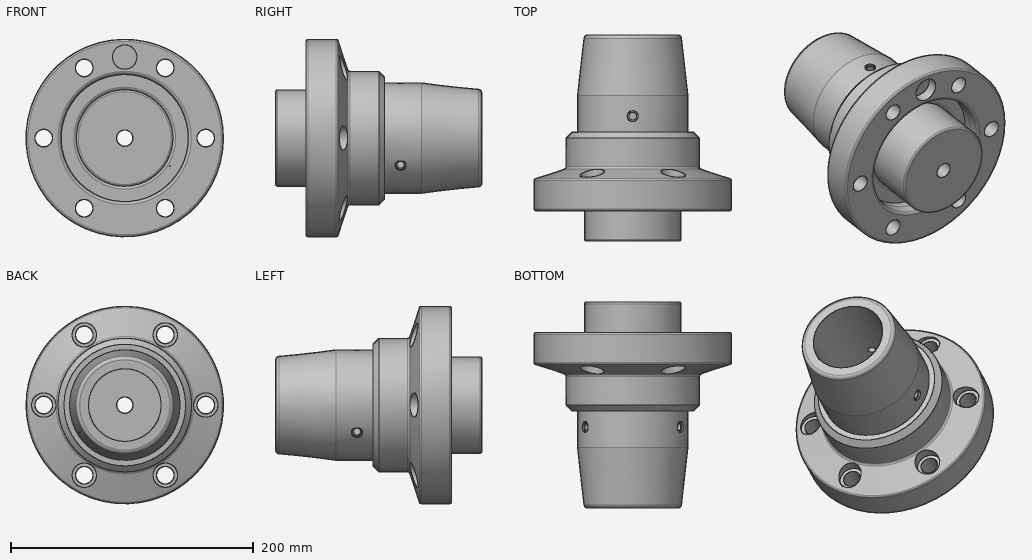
import cadquery as cq
import math


overall_length = 170.0
shaft_radius = 39.8
shaft_projection = 25.0
shaft_edge_fillet = 1.5
shaft_bore_diameter = 13.3

hub_length = overall_length - shaft_projection
flange_radius = 81.5
flange_rim_length = 26.2
flange_edge_fillet = 1.7
collar_radius = 55.0
slope_end = 34.8
slope_fillet = 2.2
collar_end = 65.0
collar_chamfer = 5.0
neck_radius = 45.5
taper_start = 95.2
tip_radius = 40.0
tip_fillet = 3.0

recess_mouth_fillet = 2.2
recess_front_radius = 52.9
recess_radius = 52.4
recess_taper_end = 10.2
recess_depth = 17.0
bore_mouth_fillet = 2.2
seat_end = collar_end
rear_bore_radius = 30.0

bolt_count = 6
bolt_circle_radius = 66.8
bolt_hole_diameter = 14.3
spotface_diameter = 20.0
spotface_floor = 25.5
pin_hole_diameter = 20.0
pin_hole_depth = 9.0

radial_hole_count = 3
radial_hole_y = 78.0
radial_hole_diameter = 6.5
counterbore_diameter = 9.0
counterbore_depth = 1.7


def revolve_about_y(outline):
    """Full turn of a (radius, y) outline about the Y axis."""
    return outline.close().revolve(360, (0, 0, 0), (0, 1, 0))


def axial_cylinder(diameter, start, end, x=0, z=0):
    """Cylinder along Y between two stations."""
    circle = cq.Workplane("XZ", origin=(x, start, z)).circle(diameter / 2)
    return circle.extrude(start - end)


def fillet_circle(body, radius, y, size):
    """Round the circular edge of the given radius at station y."""
    margin = 0.2
    reach = radius + margin
    around_edge = cq.selectors.BoxSelector(
        (-reach, y - margin, -reach), (reach, y + margin, reach), boundingbox=True
    )
    ring = [edge for edge in body.edges(around_edge).vals()
            if edge.geomType() == "CIRCLE" and abs(edge.radius() - radius) < margin]
    return body.newObject(ring).fillet(size)


def hub_blank():
    """Flange, sloping back, collar, neck and tapered tip, without openings."""
    outline = (
        cq.Workplane("XY")
        .lineTo(flange_radius, 0)
        .lineTo(flange_radius, flange_rim_length)
        .lineTo(collar_radius, slope_end)
        .lineTo(collar_radius, collar_end - collar_chamfer)
        .lineTo(collar_radius - collar_chamfer, collar_end)
        .lineTo(neck_radius, collar_end)
        .lineTo(neck_radius, taper_start)
        .lineTo(tip_radius, hub_length)
        .lineTo(0, hub_length)
    )
    blank = revolve_about_y(outline)
    blank = fillet_circle(blank, flange_radius, 0, flange_edge_fillet)
    blank = fillet_circle(blank, flange_radius, flange_rim_length, flange_edge_fillet)
    blank = fillet_circle(blank, collar_radius, slope_end, slope_fillet)
    return fillet_circle(blank, tip_radius, hub_length, tip_fillet)


def cut_opening(body):
    """Front recess, shaft seat and the narrower bore behind the seat."""
    outline = (
        cq.Workplane("XY")
        .lineTo(recess_front_radius, 0)
        .lineTo(recess_radius, recess_taper_end)
        .lineTo(recess_radius, recess_depth)
        .lineTo(shaft_radius, recess_depth)
        .lineTo(shaft_radius, seat_end)
        .lineTo(rear_bore_radius, seat_end)
        .lineTo(rear_bore_radius, hub_length)
        .lineTo(0, hub_length)
    )
    body = body.cut(revolve_about_y(outline))
    body = fillet_circle(body, recess_front_radius, 0, recess_mouth_fillet)
    return fillet_circle(body, shaft_radius, recess_depth, bore_mouth_fillet)


def cut_bolt_holes(body):
    """Through holes with a spotface sunk into the sloping back of the flange."""
    for index in range(bolt_count):
        angle = math.radians(index * 360 / bolt_count)
        x = bolt_circle_radius * math.cos(angle)
        z = bolt_circle_radius * math.sin(angle)
        body = body.cut(axial_cylinder(bolt_hole_diameter, 0, slope_end, x, z))
        body = body.cut(axial_cylinder(spotface_diameter, spotface_floor, slope_end, x, z))
    return body


def cut_pin_hole(body):
    """Blind hole in the front face, on the bolt circle at the top."""
    return body.cut(axial_cylinder(pin_hole_diameter, 0, pin_hole_depth, z=bolt_circle_radius))


def cut_radial_holes(body):
    """Counterbored holes from the neck into the rear bore, evenly spaced from the top."""
    base = cq.Workplane("XY", origin=(0, radial_hole_y, 0))
    hole = base.circle(radial_hole_diameter / 2).extrude(neck_radius)
    counterbore_floor = base.workplane(offset=neck_radius - counterbore_depth)
    counterbore = counterbore_floor.circle(counterbore_diameter / 2).extrude(counterbore_depth)
    cutter = hole.union(counterbore)
    for index in range(radial_hole_count):
        angle = index * 360 / radial_hole_count
        body = body.cut(cutter.rotate((0, 0, 0), (0, 1, 0), angle))
    return body


def make_hub():
    hub = cut_opening(hub_blank())
    hub = cut_bolt_holes(hub)
    hub = cut_pin_hole(hub)
    return cut_radial_holes(hub)


def make_shaft():
    """Plain shaft with a rounded front edge and a bore along its axis."""
    front = -shaft_projection
    blank = axial_cylinder(2 * shaft_radius, front, seat_end)
    blank = fillet_circle(blank, shaft_radius, front, shaft_edge_fillet)
    return blank.cut(axial_cylinder(shaft_bore_diameter, front, seat_end))


hub = make_hub()
shaft = make_shaft()
result = cq.Compound.makeCompound([hub.val(), shaft.val()])